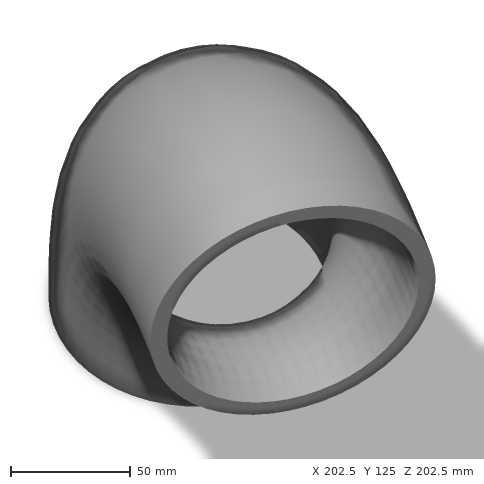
import cadquery as cq

overall_length = 202.5
outer_diameter = 125.0
bore_diameter = 110.2
bend_radius = outer_diameter

collar_length = overall_length - bend_radius - outer_diameter / 2


def elbow(diameter):
    """Solid round bar rising from the origin along Z and turning to leave along +X."""
    bend_end_x = bend_radius
    bend_end_z = collar_length + bend_radius

    lower_collar = cq.Workplane("XY").circle(diameter / 2).extrude(collar_length)
    bend = (
        cq.Workplane("XY", origin=(0, 0, collar_length))
        .circle(diameter / 2)
        .revolve(90, (bend_radius, 0), (bend_radius, 1))
    )
    side_collar = (
        cq.Workplane("YZ", origin=(bend_end_x, 0, bend_end_z))
        .circle(diameter / 2)
        .extrude(collar_length)
    )
    return lower_collar.union(bend).union(side_collar)


result = elbow(outer_diameter).cut(elbow(bore_diameter))